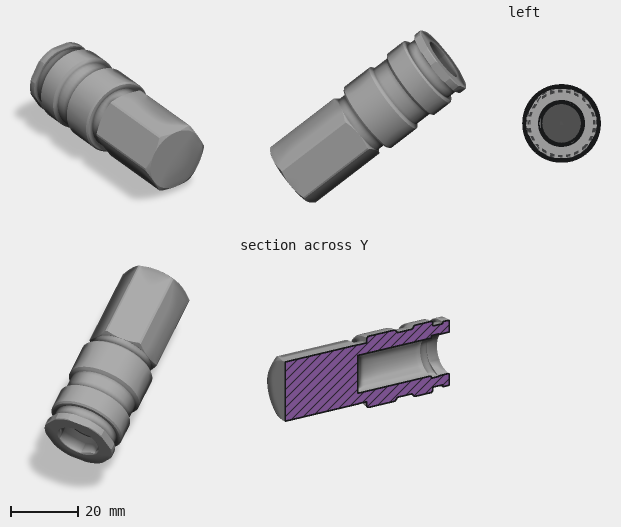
import cadquery as cq
import math

length = 58.5

nut_length = 2.5
nut_diameter = 22.05
nut_across_flats = 21.0
nut_chamfer = 0.25

front_neck_diameter = 19.8
sleeve_start = 5.85
sleeve_end = 29.35
sleeve_diameter = 23.0
sleeve_chamfer_length = 0.5
sleeve_chamfer_height = 0.45
rear_neck_diameter = 19.0

groove_start = 12.4
groove_end = 19.25
groove_diameter = 20.9
groove_slope_length = 0.9

hex_start = 32.5
hex_across_flats = 19.15
hex_corner_diameter = 21.7
hex_chamfer_angle = 30.0

mouth_diameter = 13.5
mouth_lead_length = 0.45
entry_diameter = 13.1
entry_length = 3.75
key_flat_distance = 6.0
key_flat_count = 3
chamber_diameter = 13.5
chamber_end = 6.25
bore_diameter = 12.0
bore_lead = 0.25
bore_end = 32.5


def revolve_profile(points):
    """Turn (x, radius) points, closed along the axis, about the X axis."""
    outline = [(points[0][0], 0)] + points + [(points[-1][0], 0)]
    return cq.Workplane("XY").polyline(outline).close().revolve(360, (0, 0, 0), (1, 0, 0))


def hexagon(start, end, across_flats):
    """Hexagonal bar along X with corners on the Y axis."""
    corner_diameter = across_flats / math.cos(math.radians(30))
    return cq.Workplane("YZ", origin=(start, 0, 0)).polygon(6, corner_diameter).extrude(end - start)


def make_nut():
    radius = nut_diameter / 2
    ring = revolve_profile([
        (0, radius - nut_chamfer),
        (nut_chamfer, radius),
        (nut_length - nut_chamfer, radius),
        (nut_length, radius - nut_chamfer),
    ])
    return ring.intersect(hexagon(0, nut_length, nut_across_flats))


def make_sleeve():
    radius = sleeve_diameter / 2
    end_radius = radius - sleeve_chamfer_height
    groove_radius = groove_diameter / 2
    return revolve_profile([
        (sleeve_start, end_radius),
        (sleeve_start + sleeve_chamfer_length, radius),
        (groove_start, radius),
        (groove_start + groove_slope_length, groove_radius),
        (groove_end - groove_slope_length, groove_radius),
        (groove_end, radius),
        (sleeve_end - sleeve_chamfer_length, radius),
        (sleeve_end, end_radius),
    ])


def make_neck(start, end, diameter):
    return revolve_profile([(start, diameter / 2), (end, diameter / 2)])


def make_rear_hexagon():
    corner_radius = hex_corner_diameter / 2
    end_radius = hex_across_flats / 2
    chamfer_length = (corner_radius - end_radius) * math.tan(math.radians(hex_chamfer_angle))
    turned_blank = revolve_profile([
        (hex_start, end_radius),
        (hex_start + chamfer_length, corner_radius),
        (length - chamfer_length, corner_radius),
        (length, end_radius),
    ])
    return turned_blank.intersect(hexagon(hex_start, length, hex_across_flats))


def make_keyed_entry():
    """Short bore at the mouth, narrowed by flats and opened by a conical lead-in."""
    entry = make_neck(0, entry_length, entry_diameter)
    for index in range(key_flat_count):
        outside_flat = (
            cq.Workplane("XY")
            .box(entry_length, mouth_diameter, mouth_diameter, centered=(False, False, True))
            .translate((0, key_flat_distance, 0))
            .rotate((0, 0, 0), (1, 0, 0), index * 360 / key_flat_count)
        )
        entry = entry.cut(outside_flat)
    lead_in = revolve_profile([
        (0, mouth_diameter / 2),
        (mouth_lead_length, key_flat_distance),
    ])
    return entry.union(lead_in)


def make_inner_bore():
    """Slightly wider chamber behind the flats, then the narrower blind bore."""
    chamber_radius = chamber_diameter / 2
    bore_radius = bore_diameter / 2
    return revolve_profile([
        (entry_length, chamber_radius),
        (chamber_end, chamber_radius),
        (chamber_end, bore_radius + bore_lead),
        (chamber_end + bore_lead, bore_radius),
        (bore_end, bore_radius),
    ])


body = (
    make_nut()
    .union(make_neck(nut_length, sleeve_start, front_neck_diameter))
    .union(make_sleeve())
    .union(make_neck(sleeve_end, hex_start, rear_neck_diameter))
    .union(make_rear_hexagon())
)
result = body.cut(make_keyed_entry()).cut(make_inner_bore())